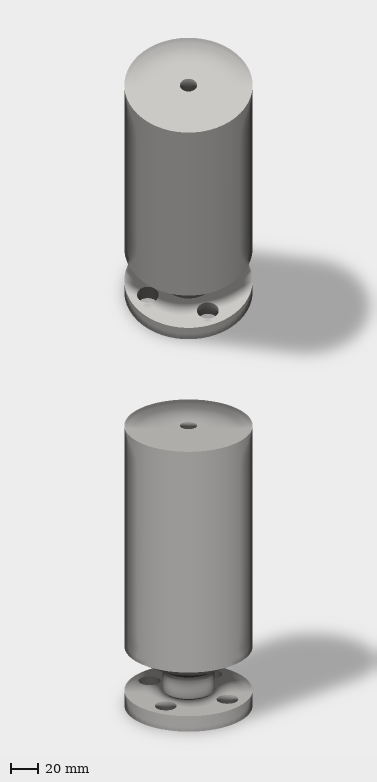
import cadquery as cq

total_height = 227.0
outer_diameter = 95.1

flange_thickness = 12.5
cone_bottom = 31.3
cone_top = 48.0

neck_diameter = 38.5
neck_chamfer = 1.4

bore_diameter = 12.7
bolt_hole_count = 4
bolt_hole_diameter = 16.1
bolt_circle_radius = 33.4

outer_radius = outer_diameter / 2
neck_radius = neck_diameter / 2


def make_body():
    """Flange, neck, cone and cylinder revolved as one half profile."""
    profile = (
        cq.Workplane("XZ")
        .moveTo(0, 0)
        .lineTo(outer_radius, 0)
        .lineTo(outer_radius, flange_thickness)
        .lineTo(neck_radius - neck_chamfer, flange_thickness)
        .lineTo(neck_radius, flange_thickness + neck_chamfer)
        .lineTo(neck_radius, cone_bottom)
        .lineTo(outer_radius, cone_top)
        .lineTo(outer_radius, total_height)
        .lineTo(0, total_height)
        .close()
    )
    return profile.revolve(360, (0, 0, 0), (0, 1, 0))


def make_bore():
    """Central hole running through the full height."""
    return cq.Workplane("XY").circle(bore_diameter / 2).extrude(total_height)


def make_bolt_holes():
    """Flange holes on the bolt circle, lying on the X and Y axes."""
    return (
        cq.Workplane("XY")
        .polarArray(bolt_circle_radius, 0, 360, bolt_hole_count)
        .circle(bolt_hole_diameter / 2)
        .extrude(flange_thickness)
    )


result = make_body().cut(make_bore()).cut(make_bolt_holes())